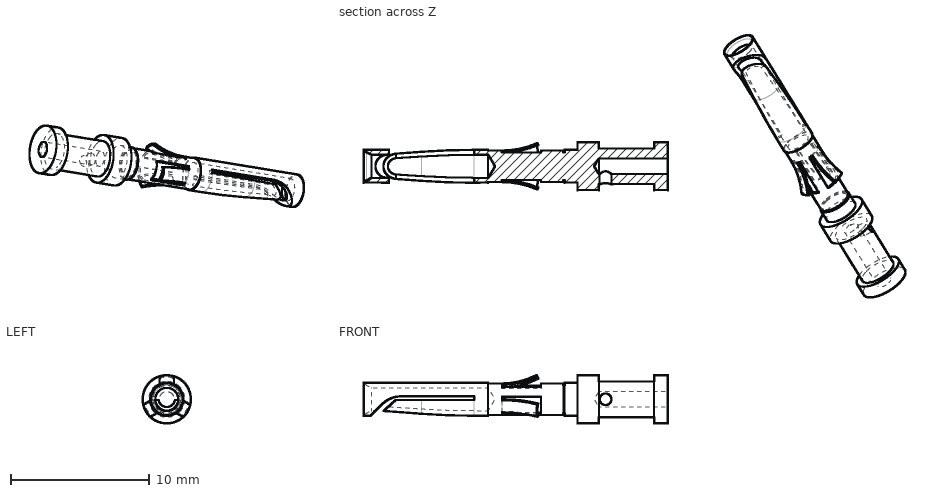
import cadquery as cq
import math

length = 22.0
socket_end = 9.0
collar_start = 14.53
flange_start = 15.45
flange_end = 17.0
rim_start = 21.0

socket_radius = 1.2
core_radius = 1.0
barrel_radius = 1.3
flange_radius = 1.75

bore_radius = 0.83
bore_depth = 9.0
drill_tip_angle = 118.0
mouth_radius = 1.15
lead_in_radius = 1.02
lead_in_depth = 0.2
lead_in_end = 0.57

crimp_bore_radius = 0.55
crimp_bore_start = flange_end
inspection_hole_radius = 0.42
inspection_hole_x = 17.49

slot_end = 8.0
slot_top_z = 0.21
slot_exit_x = 0.5
slot_bend_radius = 2.0
slot_slope_angle = 45.0

finger_top_z = -0.04
finger_tip_x = 2.33
finger_tip_angle = 42.0
finger_bend_x = 4.2
finger_outer_drop = 0.14
finger_inner_drop = 0.12

sleeve_radius = 1.15
sleeve_end = 14.45
tongue_count = 3
window_start = 10.0
window_end = 12.82
window_half_angle = 40.0
tongue_width = 1.02
tongue_tip_x = 12.5

clearance = 3.0


def revolve_about_x(profile):
    return profile.close().revolve(360, (0, 0, 0), (1, 0, 0))


def ring_section(start, end, inner, outer):
    profile = (
        cq.Workplane("XY")
        .moveTo(start, inner)
        .lineTo(start, outer)
        .lineTo(end, outer)
        .lineTo(end, inner)
    )
    return revolve_about_x(profile)


def conical_tip(radius):
    return radius / math.tan(math.radians(drill_tip_angle / 2))


def turned_body():
    profile = (
        cq.Workplane("XY")
        .lineTo(0, socket_radius)
        .lineTo(socket_end, socket_radius)
        .lineTo(socket_end, core_radius)
        .lineTo(collar_start, core_radius)
        .lineTo(collar_start, socket_radius)
        .lineTo(flange_start, socket_radius)
        .lineTo(flange_start, flange_radius)
        .lineTo(flange_end, flange_radius)
        .lineTo(flange_end, barrel_radius)
        .lineTo(rim_start, barrel_radius)
        .lineTo(rim_start, flange_radius)
        .lineTo(length, flange_radius)
        .lineTo(length, 0)
    )
    return revolve_about_x(profile)


def pin_bore():
    profile = (
        cq.Workplane("XY")
        .lineTo(0, mouth_radius)
        .lineTo(lead_in_depth, lead_in_radius)
        .lineTo(lead_in_end, bore_radius)
        .lineTo(bore_depth, bore_radius)
        .lineTo(bore_depth + conical_tip(bore_radius), 0)
    )
    return revolve_about_x(profile)


def crimp_bore():
    profile = (
        cq.Workplane("XY")
        .moveTo(length, 0)
        .lineTo(length, crimp_bore_radius)
        .lineTo(crimp_bore_start, crimp_bore_radius)
        .lineTo(crimp_bore_start - conical_tip(crimp_bore_radius), 0)
    )
    return revolve_about_x(profile)


def inspection_hole():
    """Radial hole through the -Y wall only."""
    return (
        cq.Workplane("XZ")
        .center(inspection_hole_x, 0)
        .circle(inspection_hole_radius)
        .extrude(clearance)
    )


def finger_opening():
    """Region below the slot's upper edge: a slope, a tangent arc and a flat."""
    slope = math.radians(slot_slope_angle)
    corner_x = slot_exit_x + (slot_top_z + socket_radius) / math.tan(slope)
    tangent_length = slot_bend_radius * math.tan(slope / 2)
    arc_start = (
        corner_x - tangent_length * math.cos(slope),
        slot_top_z - tangent_length * math.sin(slope),
    )
    arc_end = (corner_x + tangent_length, slot_top_z)
    below_x = slot_exit_x - (clearance - socket_radius) / math.tan(slope)
    return (
        cq.Workplane("XZ")
        .moveTo(below_x, -clearance)
        .lineTo(*arc_start)
        .tangentArcPoint(arc_end, relative=False)
        .lineTo(slot_end, slot_top_z)
        .lineTo(slot_end, -clearance)
        .close()
        .extrude(clearance, both=True)
    )


def tip_radius_after_bend(root_radius, drop, x):
    """Radius at x on the straight line tangent to the end of the bend arc."""
    bend_length = slot_end - finger_bend_x
    slope = math.tan(2 * math.atan(drop / bend_length))
    return root_radius - drop - slope * (finger_bend_x - x)


def contact_finger():
    """Half shell thinning towards its tip; it joins the socket at the slot end."""
    start_x = 0.0
    root_x = slot_end + clearance
    outer_tip = tip_radius_after_bend(socket_radius, finger_outer_drop, start_x)
    inner_tip = tip_radius_after_bend(bore_radius, finger_inner_drop, start_x)
    shell = revolve_about_x(
        cq.Workplane("XY")
        .moveTo(root_x, socket_radius)
        .lineTo(slot_end, socket_radius)
        .tangentArcPoint((finger_bend_x, socket_radius - finger_outer_drop), relative=False)
        .lineTo(start_x, outer_tip)
        .lineTo(start_x, inner_tip)
        .lineTo(finger_bend_x, bore_radius - finger_inner_drop)
        .tangentArcPoint((slot_end, bore_radius), relative=False)
        .lineTo(root_x, bore_radius)
    )
    tip_slope = math.tan(math.radians(finger_tip_angle))
    below_x = finger_tip_x - (clearance + finger_top_z) / tip_slope
    kept_part = (
        cq.Workplane("XZ")
        .moveTo(finger_tip_x, finger_top_z)
        .lineTo(slot_end, finger_top_z)
        .lineTo(slot_end, -clearance)
        .lineTo(below_x, -clearance)
        .close()
        .extrude(clearance, both=True)
    )
    return shell.intersect(kept_part)


def window_cutter():
    """Wedge pointing at the axis, so that the window sides are radial."""
    half_width = clearance * math.tan(math.radians(window_half_angle))
    return (
        cq.Workplane("YZ", origin=(window_start, 0, 0))
        .polyline([(0, 0), (half_width, clearance), (-half_width, clearance)])
        .close()
        .extrude(window_end - window_start)
    )


def spring_tongue():
    """Strip of the sleeve bent outwards until its tip reaches the flange radius."""
    rise = flange_radius - sleeve_radius
    run = tongue_tip_x - window_start
    bend_angle = 2 * math.atan(rise / run)
    bend_axis_z = sleeve_radius + run / math.sin(bend_angle)
    half_width = tongue_width / 2
    outer_edge_z = math.sqrt(sleeve_radius**2 - half_width**2)
    inner_edge_z = math.sqrt(core_radius**2 - half_width**2)
    return (
        cq.Workplane("YZ", origin=(window_start, 0, 0))
        .moveTo(-half_width, outer_edge_z)
        .threePointArc((0, sleeve_radius), (half_width, outer_edge_z))
        .lineTo(half_width, inner_edge_z)
        .threePointArc((0, core_radius), (-half_width, inner_edge_z))
        .close()
        .revolve(math.degrees(bend_angle), (1, bend_axis_z, 0), (0, bend_axis_z, 0))
    )


def retention_sleeve():
    sleeve = ring_section(socket_end, sleeve_end, core_radius, sleeve_radius)
    window = window_cutter()
    tongue = spring_tongue()
    for index in range(tongue_count):
        angle = index * 360 / tongue_count
        sleeve = sleeve.cut(window.rotate((0, 0, 0), (1, 0, 0), angle))
        sleeve = sleeve.union(tongue.rotate((0, 0, 0), (1, 0, 0), angle))
    return sleeve


body = turned_body().cut(pin_bore()).cut(crimp_bore()).cut(inspection_hole()).cut(finger_opening())
result = body.union(contact_finger()).union(retention_sleeve())